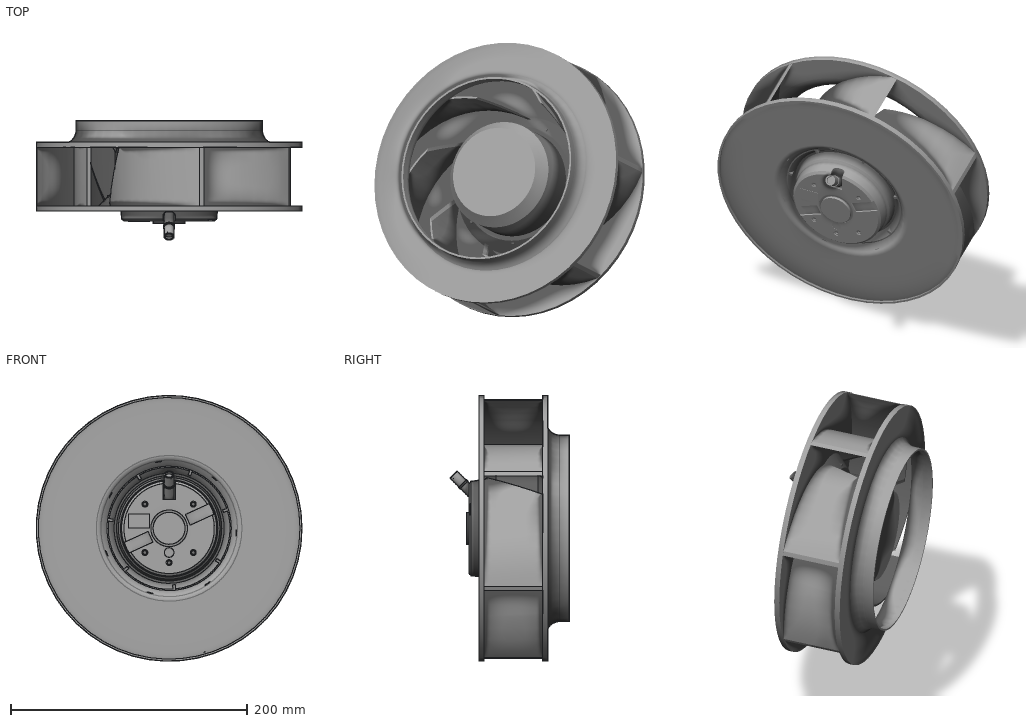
import cadquery as cq
import math


wheel_radius = 112.5
plate_thickness = 4.5
blade_width = 49.5
shroud_front = plate_thickness + blade_width
shroud_back = shroud_front + plate_thickness
rim_lip_width = 1.8
plate_face_y = 1.8

collar_outer_radius = 79.0
collar_wall = 1.5
collar_flare_radius = 11.2
collar_flare_end = 68.5
inlet_end = 76.7

blade_count = 7
blade_thickness = 1.5
blade_outer_radius = 112.0
blade_arc_radius = 93.5
blade_arc_center = (-26.0, 37.8)
blade_inner_radius_hub = 56.7
blade_inner_radius_shroud = 70.5
blade_overlap = 0.5

dish_mouth_radius = 59.5
dish_mouth_fillet = 5.5
dish_wall_run = 4.7
dish_ledge_outer_radius = 52.6
dish_ledge_inner_radius = 51.5
dish_floor_radius = 46.5
dish_ledge_y = plate_face_y + dish_mouth_radius - dish_ledge_outer_radius
dish_floor_y = dish_ledge_y + dish_ledge_inner_radius - dish_floor_radius
hub_back = 14.6
tab_width = 2.2
tab_inner_radius = 48.0
tab_angle = 17.7

motor_front = -8.3
motor_radius = 40.3
motor_face_radius = 38.2
motor_chamfer_depth = 1.8
motor_shoulder_radius = 41.2
motor_shoulder_y = 3.5
motor_step_radius = 43.0
motor_step_y = 5.8
motor_root_radius = 44.5
rotor_radius = 45.7
rotor_shoulder_y = 50.2
rotor_end_radius = 38.2
rotor_back = 60.8

cap_radius = 13.5
cap_height = 2.0
cap_groove_radius = 15.5
cap_groove_depth = 0.5
channel_width = 10.0
channel_depth = 1.4
channel_angle = 24.5
channel_start = 17.3
screw_pitch = 41.0
screw_head_radius = 2.5
screw_hole_radius = 1.5
screw_head_depth = 0.7
screw_hole_depth = 2.7
lower_screw_z = -29.0
earth_mark_radius = 4.0
mark_depth = 0.2
label_size = (17.5, 12.0)
label_center = (-25.5, 6.0)

outlet_pocket_width = 10.5
outlet_pocket_bottom = 24.3
outlet_pocket_top = 41.8
outlet_pocket_depth = 7.6
outlet_pocket_fillet = 3.4
cable_radius = 4.3
cable_tip = (-21.4, 45.5)
cable_length = 29.2
cable_bore_radius = 3.2
cable_bore_depth = 2.2
cable_ring_radius = 4.7
cable_ring_width = 1.5
cable_ring_setback = 10.8

DIAGONAL = math.sqrt(0.5)


def revolve(profile):
    """Turn a closed (radius, y) profile about the fan axis."""
    return profile.close().revolve(360, (0, 0, 0), (0, 1, 0))


def facing_front(y):
    """Sketch plane with local axes X and Z, extruding towards -Y."""
    return cq.Workplane("XZ", origin=(0, y, 0))


def hub_plate():
    fillet_reach = dish_mouth_fillet * math.tan(math.radians(22.5))
    mouth_edge = dish_mouth_radius + fillet_reach
    fillet_mid_offset = dish_mouth_fillet * math.sin(math.radians(22.5))
    fillet_mid_y = dish_mouth_fillet * (1 - math.cos(math.radians(22.5)))
    wall_start = fillet_reach * DIAGONAL
    outer_wall_start = dish_mouth_radius + dish_wall_run
    profile = (
        cq.Workplane("XY")
        .moveTo(mouth_edge, plate_face_y)
        .threePointArc(
            (mouth_edge - fillet_mid_offset, plate_face_y + fillet_mid_y),
            (dish_mouth_radius - wall_start, plate_face_y + wall_start),
        )
        .lineTo(dish_ledge_outer_radius, dish_ledge_y)
        .lineTo(dish_ledge_inner_radius, dish_ledge_y)
        .lineTo(dish_floor_radius, dish_floor_y)
        .lineTo(0, dish_floor_y)
        .lineTo(0, hub_back)
        .lineTo(outer_wall_start - hub_back, hub_back)
        .lineTo(outer_wall_start - plate_thickness, plate_thickness)
        .lineTo(wheel_radius, plate_thickness)
        .lineTo(wheel_radius, 0)
        .lineTo(wheel_radius - rim_lip_width, 0)
        .lineTo(wheel_radius - rim_lip_width, plate_face_y)
    )
    return revolve(profile)


def shroud():
    flare_center_radius = collar_outer_radius + collar_flare_radius
    inner_flare_radius = collar_flare_end - shroud_front
    inner_radius = collar_outer_radius - collar_wall
    inner_flare_center = inner_radius + inner_flare_radius
    drop = collar_flare_end - shroud_back
    flare_foot = flare_center_radius - math.sqrt(collar_flare_radius**2 - drop**2)
    half_angle = math.asin(drop / collar_flare_radius) / 2
    profile = (
        cq.Workplane("XY")
        .moveTo(wheel_radius, shroud_front)
        .lineTo(wheel_radius, shroud_back)
        .lineTo(flare_foot, shroud_back)
        .threePointArc(
            (
                flare_center_radius - collar_flare_radius * math.cos(half_angle),
                collar_flare_end - collar_flare_radius * math.sin(half_angle),
            ),
            (collar_outer_radius, collar_flare_end),
        )
        .lineTo(collar_outer_radius, inlet_end)
        .lineTo(inner_radius, inlet_end)
        .lineTo(inner_radius, collar_flare_end)
        .threePointArc(
            (
                inner_flare_center - inner_flare_radius * DIAGONAL,
                collar_flare_end - inner_flare_radius * DIAGONAL,
            ),
            (inner_flare_center, shroud_front),
        )
    )
    return revolve(profile)


def blades():
    """Curved sheets, trimmed inside by a cone and outside by a cylinder."""
    start = plate_thickness - blade_overlap
    end = shroud_front + blade_overlap
    sheet = (
        facing_front(end)
        .center(*blade_arc_center)
        .circle(blade_arc_radius)
        .circle(blade_arc_radius - blade_thickness)
        .extrude(end - start)
    )
    lower_left = (
        facing_front(end)
        .center(-wheel_radius / 2, -wheel_radius / 2)
        .rect(wheel_radius, wheel_radius + 2 * abs(blade_arc_center[1]))
        .extrude(end - start)
    )
    trim = revolve(
        cq.Workplane("XY")
        .moveTo(blade_inner_radius_hub, start)
        .lineTo(blade_outer_radius, start)
        .lineTo(blade_outer_radius, end)
        .lineTo(blade_inner_radius_shroud, end)
    )
    blade = sheet.intersect(lower_left).intersect(trim)
    ring = blade
    for i in range(1, blade_count):
        ring = ring.union(blade.rotate((0, 0, 0), (0, 1, 0), i * 360 / blade_count))
    return ring


def dish_tabs():
    """Small ribs on the sloping dish wall, one per blade."""
    length = dish_ledge_outer_radius - tab_inner_radius
    height = dish_floor_y - dish_ledge_y
    tab = cq.Workplane("XY").box(length, height, tab_width, centered=(False, False, True))
    tab = tab.translate((tab_inner_radius, dish_ledge_y, 0))
    ring = cq.Workplane("XY")
    for i in range(blade_count):
        ring = ring.add(tab.rotate((0, 0, 0), (0, 1, 0), -tab_angle - i * 360 / blade_count))
    return ring.combine()


def motor():
    return revolve(
        cq.Workplane("XY")
        .moveTo(0, motor_front)
        .lineTo(motor_face_radius, motor_front)
        .lineTo(motor_radius, motor_front + motor_chamfer_depth)
        .lineTo(motor_shoulder_radius, motor_shoulder_y)
        .lineTo(motor_step_radius, motor_step_y)
        .lineTo(motor_root_radius, dish_floor_y)
        .lineTo(rotor_radius, dish_floor_y)
        .lineTo(rotor_radius, rotor_shoulder_y)
        .lineTo(rotor_end_radius, rotor_back)
        .lineTo(0, rotor_back)
    )


def face_channels():
    """Two shallow channels running outwards from the centre cap in opposite directions."""
    base = facing_front(motor_front + channel_depth)
    channels = (
        base.rect(2 * motor_radius, channel_width)
        .extrude(channel_depth)
        .cut(base.rect(2 * channel_start, channel_width).extrude(channel_depth))
    )
    return channels.rotate((0, 0, 0), (0, 1, 0), -channel_angle)


def face_cuts():
    screws = [(x * screw_pitch / 2, z * screw_pitch / 2) for x in (-1, 1) for z in (-1, 1)]
    screws.append((0, lower_screw_z))
    face = facing_front(motor_front)
    heads = face.pushPoints(screws).circle(screw_head_radius).extrude(-screw_head_depth)
    holes = face.pushPoints(screws).circle(screw_hole_radius).extrude(-screw_hole_depth)
    earth_mark = face.center(0, -screw_pitch / 2).circle(earth_mark_radius).extrude(-mark_depth)
    cap_groove = face.circle(cap_groove_radius).circle(cap_radius).extrude(-cap_groove_depth)
    pocket = (
        face.center(0, (outlet_pocket_bottom + outlet_pocket_top) / 2)
        .rect(outlet_pocket_width, outlet_pocket_top - outlet_pocket_bottom)
        .extrude(-outlet_pocket_depth)
        .edges("|Z and >Y")
        .fillet(outlet_pocket_fillet)
    )
    cuts = face_channels()
    for cut in (heads, holes, earth_mark, cap_groove, pocket):
        cuts = cuts.union(cut)
    return cuts


def face_raised_parts():
    cap = facing_front(motor_front).circle(cap_radius).extrude(cap_height)
    label = facing_front(motor_front).center(*label_center).rect(*label_size).extrude(mark_depth)
    return cap.union(label)


def cable_outlet():
    """Round sleeve with a ring around it and a bore in its tip."""
    tip = cq.Plane(origin=(0, *cable_tip), xDir=(1, 0, 0), normal=(0, DIAGONAL, -DIAGONAL))
    sleeve = cq.Workplane(tip).circle(cable_radius).extrude(cable_length)
    ring = (
        cq.Workplane(tip)
        .workplane(offset=cable_ring_setback)
        .circle(cable_ring_radius)
        .extrude(cable_ring_width)
    )
    bore = cq.Workplane(tip).circle(cable_bore_radius).extrude(cable_bore_depth)
    return sleeve.union(ring).cut(bore)


wheel = hub_plate().union(shroud()).union(blades()).union(dish_tabs())
result = wheel.union(motor()).cut(face_cuts()).union(face_raised_parts()).union(cable_outlet())